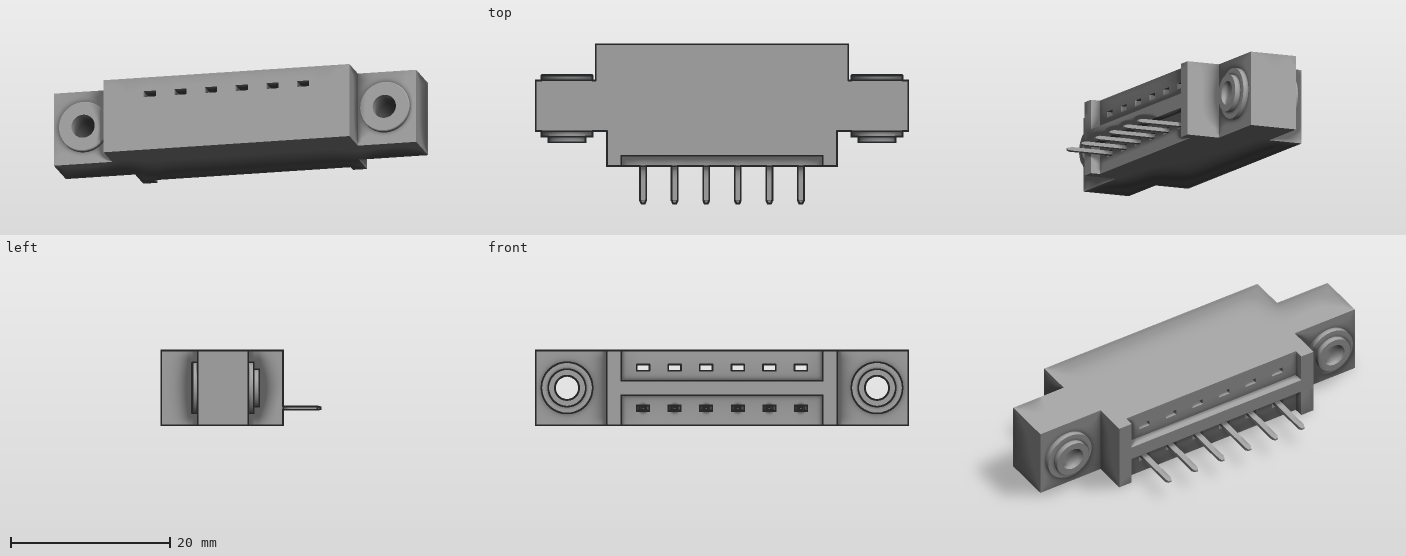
import cadquery as cq

total_length = 46.79
height = 9.40

housing_depth = 15.30
ear_front = 4.39
ear_depth = 6.35
rear_length = 31.75
front_length = 28.90

recess_length = 25.25
recess_depth = 1.27
web_height = 1.83

contact_count = 6
contact_pitch = 3.96
row_offset = 2.54
slot_width = 1.57
slot_height = 0.75

pin_width = 0.80
pin_thickness = 0.46
pin_projection = 4.72
pin_tip_length = 0.45
pin_tip_scale = 0.5

shoulder_inset = 0.80
shoulder_length = 0.90

eyelet_spacing = 38.90
eyelet_bore = 3.00
eyelet_barrel = 4.70
eyelet_flange = 6.43
flange_thickness = 0.70
barrel_projection = 0.72
rear_flange_chamfer = 0.10

ear_rear = ear_front + ear_depth
recess_height = (height - web_height) / 2
recess_center_z = (height - recess_height) / 2
contact_xs = [(i - (contact_count - 1) / 2) * contact_pitch for i in range(contact_count)]
eyelet_xs = [-eyelet_spacing / 2, eyelet_spacing / 2]


def block(x_size, z_size, y_start, y_end, x=0, z=0):
    """Box centred on (x, z) that runs from y_start to y_end."""
    return (
        cq.Workplane("XY")
        .box(x_size, y_end - y_start, z_size)
        .translate((x, (y_start + y_end) / 2, z))
    )


def cylinder(diameter, y_start, y_end, x):
    """Round bar along +Y, centred at height zero."""
    return cq.Workplane(
        cq.Solid.makeCylinder(diameter / 2, y_end - y_start, cq.Vector(x, y_start, 0), cq.Vector(0, 1, 0))
    )


def make_housing():
    body = block(total_length, height, ear_front, ear_rear)
    body = body.union(block(front_length, height, 0, ear_front))
    body = body.union(block(rear_length, height, ear_rear, housing_depth))
    for side in (-1, 1):
        body = body.cut(block(recess_length, recess_height, 0, recess_depth, z=side * recess_center_z))
        for x in contact_xs:
            body = body.cut(block(slot_width, slot_height, 0, housing_depth, x, side * row_offset))
    for x in eyelet_xs:
        body = body.cut(cylinder(eyelet_barrel, ear_front, ear_rear, x))
    return body


def make_eyelet(x):
    """Flanged bushing through one ear, with its barrel standing out at the front."""
    front_flange_face = ear_front - flange_thickness
    barrel_face = front_flange_face - barrel_projection
    rear_face = ear_rear + flange_thickness
    rear_flange = cylinder(eyelet_flange, ear_rear, rear_face, x).faces(">Y").chamfer(rear_flange_chamfer)
    body = cylinder(eyelet_barrel, barrel_face, rear_face, x)
    body = body.union(cylinder(eyelet_flange, front_flange_face, ear_front, x))
    body = body.union(rear_flange)
    return body.cut(cylinder(eyelet_bore, barrel_face, rear_face, x))


def taper(x, y_start, length, start_size, end_size):
    """Four-sided taper along +Y in a lower-row slot; sizes are (X, Z) pairs."""
    return (
        cq.Workplane("XZ", origin=(x, y_start, -row_offset))
        .rect(*start_size)
        .workplane(offset=-length)
        .rect(*end_size)
        .loft(ruled=True)
    )


def make_contact(x):
    """Contact whose body fills a lower-row slot and narrows to a pin with a tapered tip."""
    pin_size = (pin_width, pin_thickness)
    tip_size = (pin_width * pin_tip_scale, pin_thickness * pin_tip_scale)
    slot_size = (slot_width, slot_height)
    tip_y = -pin_projection
    pin_start_y = tip_y + pin_tip_length
    pin_end_y = recess_depth + shoulder_inset
    body_y = pin_end_y + shoulder_length
    tip = taper(x, tip_y, pin_tip_length, tip_size, pin_size)
    pin = block(*pin_size, pin_start_y, pin_end_y, x, -row_offset)
    shoulder = taper(x, pin_end_y, shoulder_length, pin_size, slot_size)
    body = block(*slot_size, body_y, housing_depth, x, -row_offset)
    return body.union(shoulder).union(pin).union(tip)


housing = make_housing()
eyelets = [make_eyelet(x) for x in eyelet_xs]
contacts = [make_contact(x) for x in contact_xs]

result = cq.Compound.makeCompound(
    [
        housing.val(),
        *[eyelet.val() for eyelet in eyelets],
        *[contact.val() for contact in contacts],
    ]
)